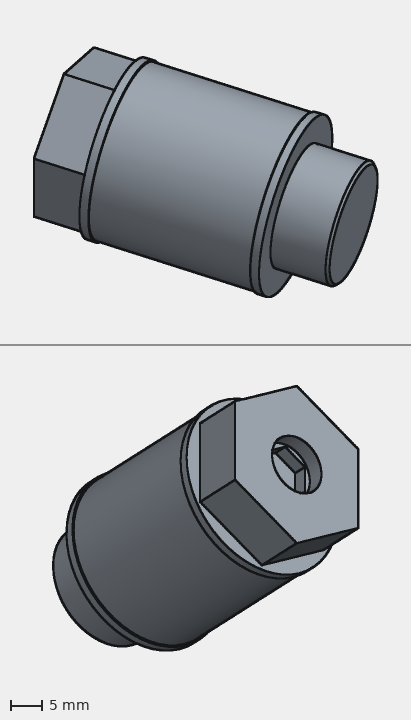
import cadquery as cq
import math

total_length = 50
head_length = 9
spigot_length = 10
flange_thickness = 1.55
spigot_chamfer = 0.5

head_across_flats = 25
flange_diameter = 30.5
body_diameter = 30
spigot_diameter = 21

bore_diameter = 10
bore_depth = 3
socket_across_flats = 8
socket_depth = 2.5

spigot_start = total_length - spigot_length


def cylinder(start, length, diameter):
    """Cylinder along +X."""
    return cq.Workplane("YZ", origin=(start, 0, 0)).circle(diameter / 2).extrude(length)


def hex_prism(start, length, across_flats):
    """Hexagonal prism along +X with corners pointing up and down."""
    corner_diameter = across_flats / math.cos(math.pi / 6)
    plane = cq.Workplane("YZ", origin=(start, 0, 0)).transformed(rotate=(0, 0, 90))
    return plane.polygon(6, corner_diameter).extrude(length)


head = hex_prism(0, head_length, head_across_flats)
body = cylinder(head_length, spigot_start - head_length, body_diameter)

part = head.union(body)
for flange_start in (head_length, spigot_start - flange_thickness):
    part = part.union(cylinder(flange_start, flange_thickness, flange_diameter))

spigot = cylinder(spigot_start, spigot_length, spigot_diameter)
part = part.union(spigot.faces(">X").chamfer(spigot_chamfer))

part = part.cut(cylinder(0, bore_depth, bore_diameter))
result = part.cut(hex_prism(bore_depth, socket_depth, socket_across_flats))